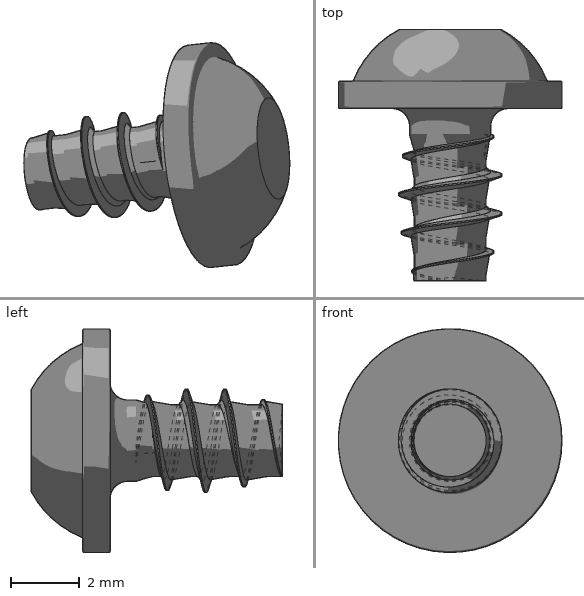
import cadquery as cq
import math


flange_radius = 3.25
flange_thickness = 0.8
flange_edge = 0.05
dome_base_fillet = 0.05
head_height = 2.3
dome_base_radius = 2.82
dome_mid_radius = 2.47
dome_mid_height = 1.44
dome_top_radius = 1.48

shank_length = 5.0
neck_radius = 1.185
neck_fillet = 0.5
neck_end_depth = 0.75
neck_cone_end_depth = 1.23
core_radius = 1.045
tip_dimple_radius = 0.96
tip_dimple_depth = 0.1

pitch = 1.12
first_crest_depth = 0.81
crest_radius = 1.505
full_crest_start = 1.92
full_crest_end = 3.31
growth_slope = 0.215
runout_slope = 0.275
thread_start_depth = 0.45
thread_end_depth = 5.1
samples_per_turn = 24

crest_half_width = 0.02
foot_radius = 1.18
foot_offset = -0.095
ridge_root_radius = 0.95
upper_root_offset = -0.31
lower_root_offset = 0.2

land_top_radius = 1.155
land_top_offset = 0.03
land_end_radius = 1.015
land_end_offset = 0.87
land_root_radius = 0.85
land_crest_cover = 0.04


def head_and_core():
    """Revolve the head, neck and plain core."""
    profile = (
        cq.Workplane("XY")
        .moveTo(0, head_height)
        .lineTo(dome_top_radius, head_height)
        .threePointArc((dome_mid_radius, dome_mid_height), (dome_base_radius, flange_thickness))
        .lineTo(flange_radius - flange_edge, flange_thickness)
        .radiusArc((flange_radius, flange_thickness - flange_edge), flange_edge)
        .lineTo(flange_radius, flange_edge)
        .radiusArc((flange_radius - flange_edge, 0), flange_edge)
        .lineTo(neck_radius + neck_fillet, 0)
        .radiusArc((neck_radius, -neck_fillet), -neck_fillet)
        .lineTo(neck_radius, -neck_end_depth)
        .lineTo(core_radius, -neck_cone_end_depth)
        .lineTo(core_radius, -shank_length)
        .lineTo(0, -shank_length)
        .close()
    )
    body = profile.revolve(360, (0, 0, 0), (0, 1, 0))
    dome_base = body.edges("%CIRCLE").filter(lambda edge: math.isclose(edge.radius(), dome_base_radius))
    return dome_base.fillet(dome_base_fillet)


def crest_drop(depth):
    """How far the crest lies inside its full radius at a given crest depth."""
    growing = growth_slope * (full_crest_start - depth)
    fading = runout_slope * (depth - full_crest_end)
    return max(0, growing, fading)


def ridge_section(depth):
    """(radius, axial offset) corners of the ridge, sunk into the core near both ends."""
    corners = [
        (ridge_root_radius, upper_root_offset),
        (foot_radius, foot_offset),
        (crest_radius, -crest_half_width),
        (crest_radius, crest_half_width),
        (ridge_root_radius, lower_root_offset),
    ]
    drop = crest_drop(depth)
    return [(radius - drop, offset) for radius, offset in corners]


def land_section(depth):
    """(radius, axial offset) corners of the tapered land that follows the ridge."""
    top_radius = min(land_top_radius, crest_radius - crest_drop(depth) - land_crest_cover)
    return [
        (land_root_radius, land_top_offset),
        (top_radius, land_top_offset),
        (land_end_radius, land_end_offset),
        (land_root_radius, land_end_offset),
    ]


def helical_solid(section, start, end):
    """Solid whose corner edges wind right-handed round Y from one crest depth to another."""
    steps = math.ceil((end - start) / pitch * samples_per_turn)
    depths = [start + (end - start) * i / steps for i in range(steps + 1)]
    paths = [[] for _ in section(start)]
    for depth in depths:
        angle = 2 * math.pi * (depth - first_crest_depth) / pitch
        for path, (radius, offset) in zip(paths, section(depth)):
            x = radius * math.cos(angle)
            z = radius * math.sin(angle)
            path.append(cq.Vector(x, -depth - offset, z))
    edges = [cq.Edge.makeSpline(path) for path in paths]
    faces = [cq.Face.makeRuledSurface(edges[i - 1], edges[i]) for i in range(len(edges))]
    for end_index in (0, -1):
        outline = cq.Wire.makePolygon([path[end_index] for path in paths], close=True)
        faces.append(cq.Face.makeFromWires(outline))
    solid = cq.Solid.makeSolid(cq.Shell.makeShell(faces))
    return cq.Workplane(solid.fix())


def threaded_zone():
    """Cylinder from the end of the neck to the tip that bounds the thread."""
    return (
        cq.Workplane("XZ", origin=(0, -neck_end_depth, 0))
        .circle(2 * crest_radius)
        .extrude(shank_length - neck_end_depth)
    )


def tip_dimple():
    """Shallow cone to cut into the tip."""
    profile = (
        cq.Workplane("XY")
        .moveTo(0, -shank_length)
        .lineTo(tip_dimple_radius, -shank_length)
        .lineTo(0, tip_dimple_depth - shank_length)
        .close()
    )
    return profile.revolve(360, (0, 0, 0), (0, 1, 0))


ridge = helical_solid(ridge_section, thread_start_depth, thread_end_depth).intersect(threaded_zone())
land = helical_solid(land_section, neck_end_depth, thread_end_depth).intersect(threaded_zone())
result = head_and_core().union(land).union(ridge).cut(tip_dimple())